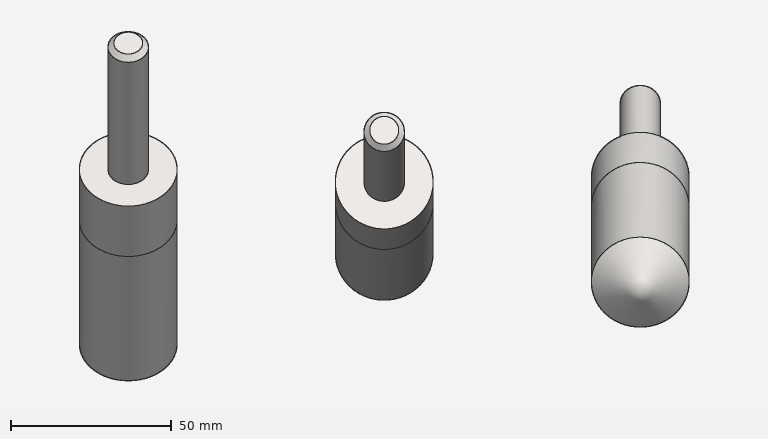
import cadquery as cq

total_height = 152.4
body_diameter = 30.5
shank_diameter = 12.6

cone_height = 9.5
joint_height = 68.6
collar_top = 92.5

bevel_size = 1.8

body_radius = body_diameter / 2
shank_radius = shank_diameter / 2


def revolve_profile(points):
    """Turn a closed (radius, height) outline around the Z axis."""
    return cq.Workplane("XZ").polyline(points).close().revolve(360, (0, 0), (0, 1))


def make_pointed_head():
    """Cylinder with a conical point at its lower end."""
    return revolve_profile([
        (0, 0),
        (body_radius, cone_height),
        (body_radius, joint_height),
        (0, joint_height),
    ])


def make_collar_with_shank():
    """Collar resting on the head, with a slender bevelled shank above it."""
    return revolve_profile([
        (0, joint_height),
        (body_radius, joint_height),
        (body_radius, collar_top),
        (shank_radius, collar_top),
        (shank_radius, total_height - bevel_size),
        (shank_radius - bevel_size, total_height),
        (0, total_height),
    ])


pointed_head = make_pointed_head()
collar_with_shank = make_collar_with_shank()

result = cq.Compound.makeCompound([pointed_head.val(), collar_with_shank.val()])